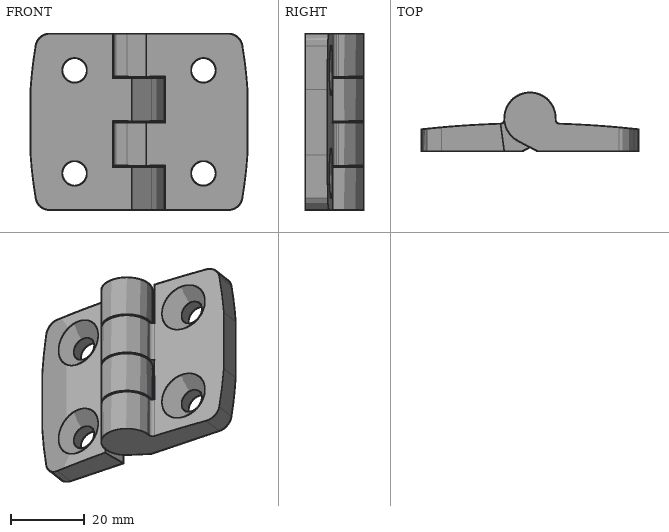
import cadquery as cq
import math

width = 59.0
height = 48.0
half_width = width / 2
half_height = height / 2

pivot_y = 9.0
knuckle_radius = 7.0
knuckle_count = 4
knuckle_gap = 0.4
knuckle_length = (height - (knuckle_count - 1) * knuckle_gap) / knuckle_count
knuckle_pitch = knuckle_length + knuckle_gap
pin_diameter = 6.0
knuckle_toe_x = 2.0

root_fillet = 1.0
root_x = knuckle_radius + root_fillet
edge_thickness = 6.0
back_radius = 265.0
back_center_y = edge_thickness - math.sqrt(back_radius**2 - half_width**2)
root_thickness = back_center_y + math.sqrt(back_radius**2 - root_x**2)

edge_bow_radius = 127.0
edge_flat_half_height = 8.9
corner_radius = 4.0

hole_x = 17.5
hole_z = 14.0
hole_diameter = 6.6
hole_straight_depth = 3.6
countersink_half_angle = 45.0

overrun = 1.0
cutter_depth = root_thickness + overrun


def extrude_section(section, z_bottom, z_top):
    """Extrude a closed XY section between two Z levels."""
    return section.extrude(z_top - z_bottom).translate((0, 0, z_bottom))


def leaf_outline():
    """Block with the outline of the left leaf in XZ: bowed outer edge and rounded corners."""
    bow_center_x = -half_width + math.sqrt(edge_bow_radius**2 - edge_flat_half_height**2)

    def bow_x(z):
        return bow_center_x - math.sqrt(edge_bow_radius**2 - z**2)

    middle_z = (edge_flat_half_height + half_height) / 2
    outline = (
        cq.Workplane("XZ")
        .moveTo(0, half_height)
        .lineTo(bow_x(half_height), half_height)
        .threePointArc((bow_x(middle_z), middle_z), (-half_width, edge_flat_half_height))
        .lineTo(-half_width, -edge_flat_half_height)
        .threePointArc((bow_x(-middle_z), -middle_z), (bow_x(half_height), -half_height))
        .lineTo(0, -half_height)
        .close()
        .extrude(-cutter_depth)
    )
    outer_corners = cq.selectors.BoxSelector(
        (bow_x(half_height) - corner_radius, -cutter_depth, -height),
        (bow_x(half_height) + corner_radius, 2 * cutter_depth, height),
    )
    corner_edges = outline.edges("|Y").edges(outer_corners)
    return corner_edges.edges("<Z or >Z").fillet(corner_radius)


def leaf_plate():
    """Left leaf without knuckles: flat front, arched back, undercut wall facing the pivot."""
    middle_x = (root_x + half_width) / 2
    middle_y = back_center_y + math.sqrt(back_radius**2 - middle_x**2)
    section = (
        cq.Workplane("XY")
        .moveTo(-knuckle_radius, 0)
        .lineTo(-root_x, root_thickness)
        .threePointArc((-middle_x, middle_y), (-half_width, edge_thickness))
        .lineTo(-half_width, 0)
        .close()
    )
    return extrude_section(section, -half_height, half_height).intersect(leaf_outline())


def knuckle(index):
    """Knuckle of the left leaf; index counts the hinge knuckles from the bottom."""
    toe_distance = math.hypot(knuckle_toe_x, pivot_y)
    slope = math.acos(knuckle_radius / toe_distance) - math.atan2(knuckle_toe_x, pivot_y)
    tangent_x = knuckle_radius * math.sin(slope)
    tangent_y = pivot_y - knuckle_radius * math.cos(slope)
    blend_y = root_thickness + root_fillet
    blend_offset = root_fillet * math.sin(math.radians(45))
    section = (
        cq.Workplane("XY")
        .moveTo(-knuckle_toe_x, 0)
        .lineTo(tangent_x, tangent_y)
        .threePointArc((0, pivot_y + knuckle_radius), (-knuckle_radius, pivot_y))
        .lineTo(-knuckle_radius, blend_y)
        .threePointArc((-root_x + blend_offset, blend_y - blend_offset), (-root_x, root_thickness))
        .lineTo(-knuckle_radius, 0)
        .close()
    )
    bottom = -half_height + index * knuckle_pitch
    return extrude_section(section, bottom, bottom + knuckle_length)


def screw_hole(z):
    """Cutter for one screw hole, countersunk from the back of the left leaf."""
    radius = hole_diameter / 2
    cone_depth = cutter_depth - hole_straight_depth
    cone_radius = radius + cone_depth * math.tan(math.radians(countersink_half_angle))
    return (
        cq.Workplane("ZY")
        .moveTo(0, 0)
        .lineTo(radius, 0)
        .lineTo(radius, hole_straight_depth)
        .lineTo(cone_radius, cutter_depth)
        .lineTo(0, cutter_depth)
        .close()
        .revolve(360, (0, 0, 0), (0, 1, 0))
        .translate((-hole_x, 0, z))
    )


def left_leaf():
    """Left leaf with its knuckles, every second one from the bottom."""
    leaf = leaf_plate()
    for index in range(0, knuckle_count, 2):
        leaf = leaf.union(knuckle(index))
    return leaf


def hinge_pin():
    """Pin through all knuckles, flush with the hinge ends."""
    section = cq.Workplane("XY").center(0, pivot_y).circle(pin_diameter / 2)
    return extrude_section(section, -half_height, half_height)


def opposite(left_shape):
    """Turn a shape of the left leaf half a turn about Y, which gives the right leaf."""
    return left_shape.rotate((0, 0, 0), (0, 1, 0), 180)


leaf_left = left_leaf()
result = leaf_left.union(hinge_pin()).union(opposite(leaf_left))
for z in (-hole_z, hole_z):
    result = result.cut(screw_hole(z)).cut(opposite(screw_hole(z)))